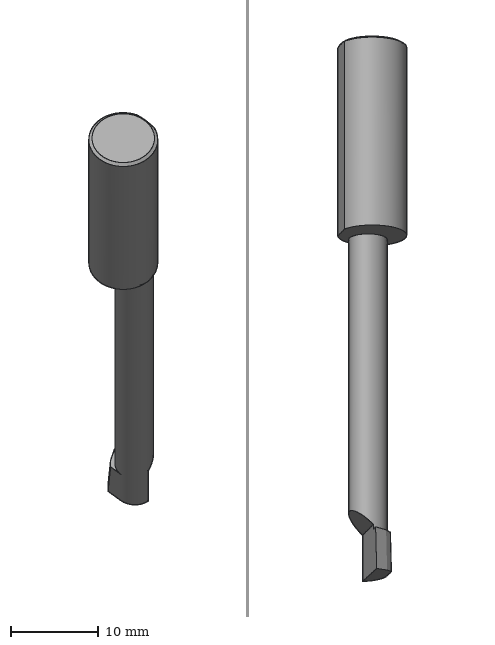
import cadquery as cq

total_length = 63.5
shank_diameter = 7.95
shank_length = 22.85
shank_flat_depth = 0.25
end_chamfer_height = 0.25
end_chamfer_inset = 0.4

neck_diameter = 4.45

rake_bottom = 5.7
rake_top = 7.75

tooth_height = 5.15
tooth_lean = 0.45
tip_x = -1.85
flank_offset = 0.8
flank_y = -1.5
heel_offset = 1.5

relief_along_x = 0.03
relief_along_y = 0.1

shank_radius = shank_diameter / 2
neck_radius = neck_diameter / 2
neck_x = shank_radius - neck_radius
shank_bottom = total_length - shank_length


def make_shank():
    """Chamfered cylinder with a full-length flat on its +Y side."""
    shank = (
        cq.Workplane("XY")
        .workplane(offset=shank_bottom)
        .circle(shank_radius)
        .extrude(shank_length)
        .faces(">Z")
        .chamfer(end_chamfer_height, end_chamfer_inset)
    )
    kept_block = (
        cq.Workplane("XY")
        .workplane(offset=shank_bottom)
        .center(0, -shank_flat_depth)
        .rect(shank_diameter, shank_diameter)
        .extrude(shank_length)
    )
    return shank.intersect(kept_block)


def make_neck():
    """Eccentric cylinder cut to half its width at the lower end."""
    neck = cq.Workplane("XY").center(neck_x, 0).circle(neck_radius).extrude(shank_bottom)
    rake_cut = (
        cq.Workplane("YZ")
        .polyline([(0, 0), (neck_radius, 0), (neck_radius, rake_top), (0, rake_bottom)])
        .close()
        .extrude(shank_diameter, both=True)
    )
    return neck.cut(rake_cut)


def tooth_outline(edge_x):
    """Tooth section whose cutting edge lies at edge_x."""
    return [
        (edge_x, 0),
        (edge_x + flank_offset, flank_y),
        (edge_x + heel_offset, -neck_radius),
        (neck_x, -neck_radius),
        (neck_x, 0),
    ]


def make_tooth():
    """Tooth blended into the neck, wider at the tip than at its top."""
    return (
        cq.Workplane("XY")
        .polyline(tooth_outline(tip_x))
        .close()
        .workplane(offset=tooth_height)
        .polyline(tooth_outline(tip_x + tooth_lean))
        .close()
        .loft(ruled=True, combine=True)
    )


def make_end_relief():
    """Material below the sloping end face that starts at the cutting point."""
    return (
        cq.Workplane(cq.Plane(
            origin=(tip_x, 0, 0),
            xDir=(1, 0, relief_along_x),
            normal=(-relief_along_x, relief_along_y, 1),
        ))
        .rect(2 * total_length, 2 * total_length)
        .extrude(-shank_diameter)
    )


cutting_bar = make_neck().union(make_tooth()).cut(make_end_relief())
result = make_shank().union(cutting_bar)